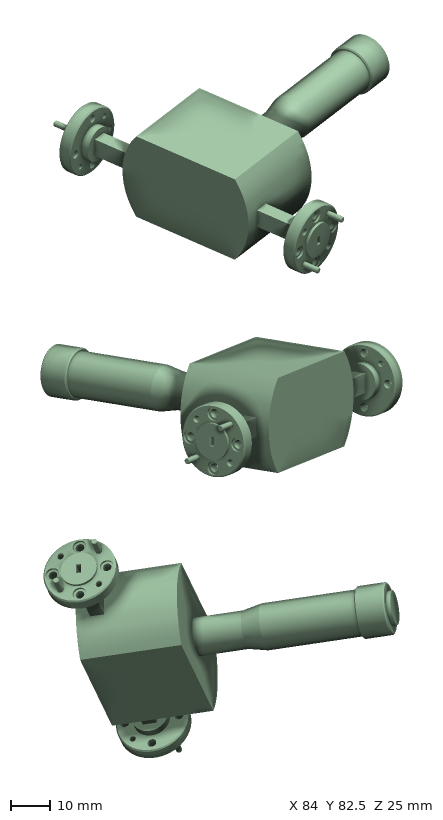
import cadquery as cq
import math


overall_length = 83.95

housing_radius = 20.1
housing_height = 25.0
housing_front = -5.6
housing_back = 21.0

arm_width = 3.7
arm_height = 5.1
bore_width = 1.35
bore_height = 2.5

flange_diameter = 19.05
flange_thickness = 3.6
flange_chamfer = 0.3
flange_face = 37.4
flange_back = flange_face - flange_thickness
hub_diameter = 9.6
hub_length = 2.1
raised_face_height = 0.75
raised_face = flange_face + raised_face_height
hub_end = flange_back - hub_length

bolt_circle_radius = 7.1
screw_hole_diameter = 2.3
screw_recess_diameter = 3.5
screw_recess_depth = 0.6
pin_diameter = 1.6
dowel_hole_chamfer = 0.2
pin_chamfer = 0.2
pin_tip = overall_length / 2
pin_angles = (45, 225)
free_dowel_angles = (135, 315)
screw_angles = (0, 90, 180, 270)
flange_turns = (0, 180)

sleeve_diameter = 9.9
thimble_diameter = 12.1
ring_diameter = 13.6
cap_diameter = 9.0
sleeve_end = 33.75
taper_end = 38.8
ring_start = 64.0
ring_end = 71.8
cap_end = 72.95
ring_chamfer = 0.3


def disc(diameter, start, end):
    """Cylinder about the X axis between two X positions."""
    return cq.Workplane("YZ").workplane(offset=start).circle(diameter / 2).extrude(end - start)


def bar(width, height, start, end):
    """Rectangular bar about the X axis between two X positions."""
    return cq.Workplane("YZ").workplane(offset=start).rect(width, height).extrude(end - start)


def around_flange(shape, angle):
    """Move a shape on the X axis out to the bolt circle, at an angle from +Y towards +Z."""
    turn = math.radians(angle)
    return shape.translate((0, bolt_circle_radius * math.cos(turn), bolt_circle_radius * math.sin(turn)))


def make_housing():
    drum = cq.Workplane("XZ", origin=(0, housing_back, 0)).circle(housing_radius)
    drum = drum.extrude(housing_back - housing_front)
    slab = cq.Workplane("XY").box(overall_length, overall_length, housing_height)
    return drum.intersect(slab)


def make_micrometer():
    profile = [
        (0, 0),
        (sleeve_diameter / 2, 0),
        (sleeve_diameter / 2, sleeve_end),
        (thimble_diameter / 2, taper_end),
        (thimble_diameter / 2, ring_start),
        (ring_diameter / 2 - ring_chamfer, ring_start),
        (ring_diameter / 2, ring_start + ring_chamfer),
        (ring_diameter / 2, ring_end - ring_chamfer),
        (ring_diameter / 2 - ring_chamfer, ring_end),
        (cap_diameter / 2, ring_end),
        (cap_diameter / 2, cap_end),
        (0, cap_end),
    ]
    return cq.Workplane("XY").polyline(profile).close().revolve(360, (0, 0, 0), (0, 1, 0))


def make_dowel_hole():
    """Tool for a dowel hole with a chamfered mouth on the flange face."""
    cone = cq.Workplane("YZ").workplane(offset=flange_face).circle(pin_diameter / 2 + dowel_hole_chamfer)
    cone = cone.extrude(-dowel_hole_chamfer, taper=45)
    return disc(pin_diameter, flange_back, flange_face).union(cone)


def make_arm():
    """Hollow waveguide arm with its flange, on the +X side; the housing closes off its bore."""
    arm = disc(flange_diameter, flange_back, flange_face).edges().chamfer(flange_chamfer)
    arm = arm.union(disc(hub_diameter, hub_end, raised_face))
    arm = arm.union(bar(arm_width, arm_height, 0, flange_back))

    screw_hole = disc(screw_hole_diameter, flange_back, flange_face)
    screw_recess = disc(screw_recess_diameter, flange_face - screw_recess_depth, flange_face)
    for angle in screw_angles:
        arm = arm.cut(around_flange(screw_hole.union(screw_recess), angle))

    dowel_hole = make_dowel_hole()
    for angle in pin_angles + free_dowel_angles:
        arm = arm.cut(around_flange(dowel_hole, angle))

    return arm.cut(bar(bore_width, bore_height, 0, raised_face))


def make_pin(angle):
    """Dowel pin flush with the back of the +X flange, chamfered at its free tip."""
    pin = disc(pin_diameter, flange_back, pin_tip).faces(">X").chamfer(pin_chamfer)
    return around_flange(pin, angle)


def turned(shape, turn):
    """Turn a shape about the Z axis through the middle of the part."""
    return shape.rotate((0, 0, 0), (0, 0, 1), turn)


body = make_housing().union(make_micrometer())
for turn in flange_turns:
    body = body.union(turned(make_arm(), turn))

pins = [turned(make_pin(angle), turn) for turn in flange_turns for angle in pin_angles]

result = cq.Compound.makeCompound([body.val(), *[pin.val() for pin in pins]])